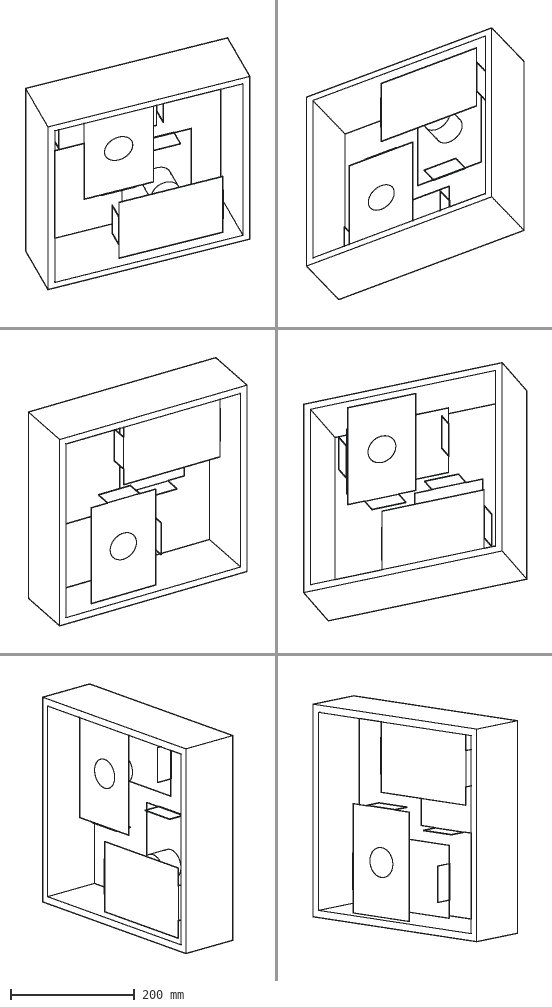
import cadquery as cq
FRAME_SIZE = 350.0
FRAME_DEPTH = 102.0
FRAME_OPENING = 326.0
FRAME_WALL = (FRAME_SIZE - FRAME_OPENING) / 2

SHEET = 1.0
PANEL_LENGTH = 180.0
PANEL_WIDTH = 120.0
PANEL_RECESS = 18.2
TAB_WIDTH = 60.0
TAB_DEPTH = 30.0

LAMP_RADIUS = 24.5
LAMP_HEIGHT = 38.5

LOWER_PAIR_Y = 220.0
UPPER_PAIR_Y = FRAME_SIZE - LOWER_PAIR_Y
UPPER_CLEARANCE = 0.5
LOWER_PAIR_Z = FRAME_WALL
UPPER_PAIR_Z = FRAME_SIZE - FRAME_WALL - UPPER_CLEARANCE


def block(x_size, y_size, z_size):
    """Block starting at x = 0 and centred on the X axis."""
    return cq.Workplane("XY").box(x_size, y_size, z_size, centered=(False, True, True))


def make_frame():
    frame = block(FRAME_DEPTH, FRAME_SIZE, FRAME_SIZE).cut(block(FRAME_DEPTH, FRAME_OPENING, FRAME_OPENING))
    return frame.translate((0, FRAME_SIZE / 2, FRAME_SIZE / 2))


def make_tab(side):
    """Tab just outside one short end of a panel; side is -1 or 1 along Y."""
    y_center = side * (PANEL_LENGTH + SHEET) / 2
    return block(TAB_DEPTH, SHEET, TAB_WIDTH).translate((0, y_center, 0))


def make_folded_panel(tab_sides):
    """Sheet lying lengthwise along Y, its outer face at x = 0 and its tabs reaching toward +X."""
    panel = block(SHEET, PANEL_LENGTH, PANEL_WIDTH)
    for side in tab_sides:
        panel = panel.union(make_tab(side))
    return panel


def make_lamp():
    """Round lamp standing on the inner face of a panel whose outer face is at x = 0."""
    return cq.Workplane("YZ").workplane(offset=SHEET).circle(LAMP_RADIUS).extrude(LAMP_HEIGHT)


def place(body, at_back, upright, y_center, z_center):
    """Turn a body upright if asked, then set it in the front or the back of the frame."""
    if upright:
        body = body.rotate((0, 0, 0), (1, 0, 0), 90)
    body = body.translate((PANEL_RECESS, 0, 0))
    if at_back:
        body = body.mirror("YZ").translate((FRAME_DEPTH, 0, 0))
    return body.translate((0, y_center, z_center))


LOWER_UPRIGHT = (False, True, LOWER_PAIR_Y, LOWER_PAIR_Z + PANEL_LENGTH / 2)
LOWER_LYING = (True, False, LOWER_PAIR_Y, LOWER_PAIR_Z + PANEL_WIDTH / 2)
UPPER_LYING = (False, False, UPPER_PAIR_Y, UPPER_PAIR_Z - PANEL_WIDTH / 2)
UPPER_UPRIGHT = (True, True, UPPER_PAIR_Y, UPPER_PAIR_Z - PANEL_LENGTH / 2)

PANELS = [
    (LOWER_UPRIGHT, [1]),
    (LOWER_LYING, [-1, 1]),
    (UPPER_LYING, [-1, 1]),
    (UPPER_UPRIGHT, [-1]),
]

frame = make_frame()
folded_panels = [place(make_folded_panel(tab_sides), *spot) for spot, tab_sides in PANELS]
lamps = [place(make_lamp(), *spot) for spot in (LOWER_UPRIGHT, UPPER_UPRIGHT)]

result = cq.Compound.makeCompound([body.val() for body in [frame, *folded_panels, *lamps]])